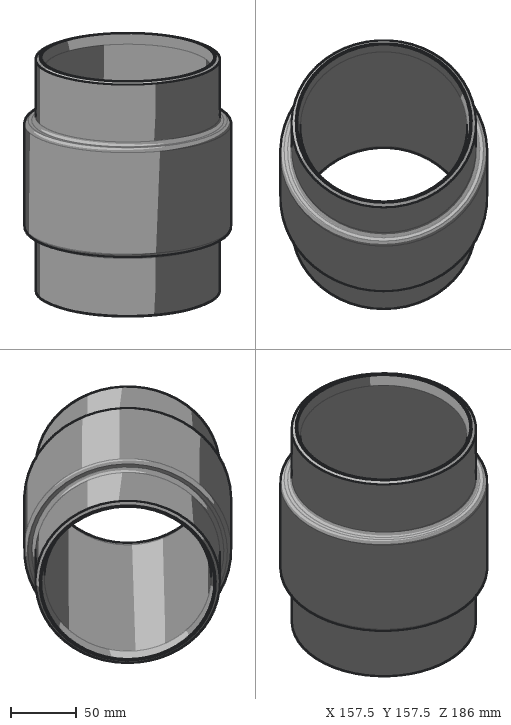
import cadquery as cq

length = 186.0
sleeve_diameter = 157.5
pipe_diameter = 140.2
bore_diameter = 126.9

pipe_end_length = 49.8
shoulder_fillet = 3.0

rim_flat_width = 1.1
bore_bevel_width = 2.5
bore_bevel_depth = 8.0
rim_bevel_height = 1.5

half_length = length / 2
sleeve_length = length - 2 * pipe_end_length
sleeve_radius = sleeve_diameter / 2
pipe_radius = pipe_diameter / 2
bore_radius = bore_diameter / 2
rim_inner_radius = bore_radius + bore_bevel_width
rim_outer_radius = rim_inner_radius + rim_flat_width


def make_body():
    """Solid stepped body: a pipe with a wider sleeve around its middle, centred on the origin."""
    half_sleeve = sleeve_length / 2
    rim_bevel_base = half_length - rim_bevel_height
    fillet = shoulder_fillet

    profile = (
        cq.Workplane("XZ")
        .moveTo(0, -half_length)
        .lineTo(rim_outer_radius, -half_length)
        .lineTo(pipe_radius, -rim_bevel_base)
        .lineTo(pipe_radius, -half_sleeve - fillet)
        .radiusArc((pipe_radius + fillet, -half_sleeve), fillet)
        .lineTo(sleeve_radius - fillet, -half_sleeve)
        .radiusArc((sleeve_radius, -half_sleeve + fillet), -fillet)
        .lineTo(sleeve_radius, half_sleeve - fillet)
        .radiusArc((sleeve_radius - fillet, half_sleeve), -fillet)
        .lineTo(pipe_radius + fillet, half_sleeve)
        .radiusArc((pipe_radius, half_sleeve + fillet), fillet)
        .lineTo(pipe_radius, rim_bevel_base)
        .lineTo(rim_outer_radius, half_length)
        .lineTo(0, half_length)
        .close()
    )
    return profile.revolve(360, (0, 0), (0, 1))


def make_bore():
    """Through bore that flares out in a long bevel at each rim."""
    bevel_base = half_length - bore_bevel_depth
    profile = (
        cq.Workplane("XZ")
        .moveTo(0, -half_length)
        .lineTo(rim_inner_radius, -half_length)
        .lineTo(bore_radius, -bevel_base)
        .lineTo(bore_radius, bevel_base)
        .lineTo(rim_inner_radius, half_length)
        .lineTo(0, half_length)
        .close()
    )
    return profile.revolve(360, (0, 0), (0, 1))


result = make_body().cut(make_bore())